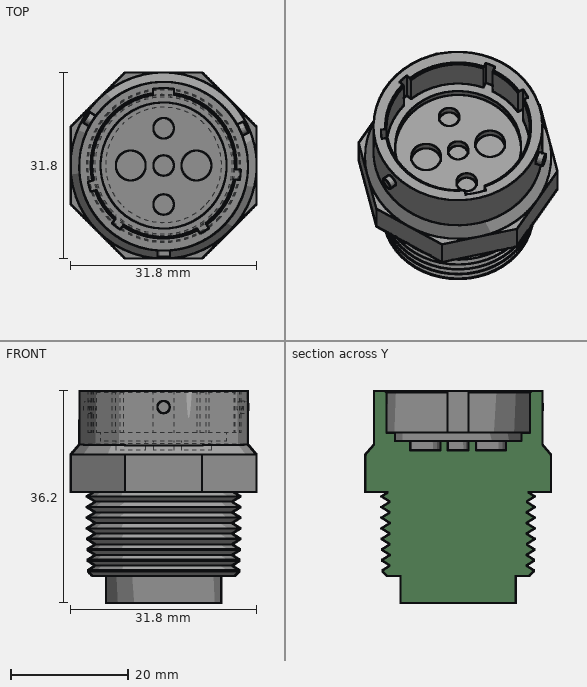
import cadquery as cq
import math

total_height = 36.16

flange_sides = 8
flange_across_flats = 31.75
flange_bottom_z = 18.93
flange_top_z = 25.31
cone_angle = 49.5
cone_overlap = 0.1

collar_radius = 14.4
collar_center_y = -0.127

bore_radius = 12.2
bore_depth = 7.1
bore_chamfer = 0.26
well_radius = 10.75
well_depth = 1.4

keyway_radius = 13.2
wide_key = 3.55
narrow_key = 1.75
keyways = [(90, wide_key), (-7, narrow_key), (-58, narrow_key), (-128, narrow_key), (-164, narrow_key)]

small_contact = 3.5
large_contact = 5.1
contact_depth = 1.6
contacts = [
    (0, 6.35, small_contact),
    (0, 0, small_contact),
    (0, -6.65, small_contact),
    (-5.6, 0, large_contact),
    (5.6, 0, large_contact),
]

pin_diameter = 2.1
pin_tip_radius = 15.5
pin_below_top = 2.75
pin_angles = (-90, 25, 148)

thread_pitch = 25.4 / 14
thread_crest_radius = 13.15
thread_depth = 1.45
thread_bottom_z = 4.6
thread_rings = 8
first_crest_below_flange = 0.75
taper_start_below_flange = 5.9
taper_slope = 1 / 32
thread_end_chamfer = 0.75

spigot_radius = 9.87
spigot_center_y = 0.1

bore_floor_z = total_height - bore_depth
well_floor_z = bore_floor_z - well_depth
flange_radius = flange_across_flats / 2


def cylinder(radius, bottom_z, top_z, x=0.0, y=0.0):
    return cq.Workplane("XY", origin=(x, y, bottom_z)).circle(radius).extrude(top_z - bottom_z)


def make_flange():
    octagon_diameter = flange_across_flats / math.cos(math.pi / flange_sides)
    octagon = (
        cq.Workplane("XY", origin=(0, 0, flange_bottom_z))
        .polygon(flange_sides, octagon_diameter)
        .extrude(flange_top_z - flange_bottom_z)
        .rotate((0, 0, 0), (0, 0, 1), 180 / flange_sides)
    )
    cone_top_radius = collar_radius - abs(collar_center_y) - cone_overlap
    cone_height = (flange_radius - cone_top_radius) * math.tan(math.radians(cone_angle))
    cone = cq.Workplane("XZ").polyline([
        (0, flange_top_z),
        (flange_radius, flange_top_z),
        (cone_top_radius, flange_top_z + cone_height),
        (0, flange_top_z + cone_height),
    ]).close().revolve()
    return octagon.union(cone)


def make_thread():
    crest_z = flange_bottom_z - first_crest_below_flange
    root_radius = thread_crest_radius - thread_depth
    outline = [(0, crest_z + thread_pitch / 2), (root_radius, crest_z + thread_pitch / 2)]
    for _ in range(thread_rings):
        outline.append((thread_crest_radius, crest_z))
        outline.append((root_radius, crest_z - thread_pitch / 2))
        crest_z -= thread_pitch
    outline[-1] = (thread_crest_radius, thread_bottom_z)
    outline.append((0, thread_bottom_z))
    rings = cq.Workplane("XZ").polyline(outline).close().revolve()

    taper_start_z = flange_bottom_z - taper_start_below_flange
    chamfer_top_z = thread_bottom_z + thread_end_chamfer
    end_radius = thread_crest_radius - taper_slope * (taper_start_z - chamfer_top_z)
    envelope = cq.Workplane("XZ").polyline([
        (0, thread_bottom_z),
        (end_radius - thread_end_chamfer, thread_bottom_z),
        (end_radius, chamfer_top_z),
        (thread_crest_radius, taper_start_z),
        (thread_crest_radius, flange_bottom_z),
        (0, flange_bottom_z),
    ]).close().revolve()
    return rings.intersect(envelope)


def make_pin(angle):
    length = pin_tip_radius - (bore_radius + collar_radius) / 2
    return (
        cq.Workplane("YZ", origin=(pin_tip_radius - length, 0, total_height - pin_below_top))
        .circle(pin_diameter / 2)
        .extrude(length)
        .rotate((0, 0, 0), (0, 0, 1), angle)
    )


def make_socket():
    socket = cylinder(bore_radius, bore_floor_z, total_height)
    mouth = (
        cq.Workplane("XY", origin=(0, 0, total_height - bore_chamfer))
        .circle(bore_radius)
        .workplane(offset=bore_chamfer)
        .circle(bore_radius + bore_chamfer)
        .loft(ruled=True)
    )
    socket = socket.union(mouth)
    keyway_limit = cylinder(keyway_radius, bore_floor_z, total_height)
    for angle, width in keyways:
        keyway = (
            cq.Workplane("XY", origin=(0, 0, bore_floor_z))
            .center(keyway_radius / 2, 0)
            .rect(keyway_radius, width)
            .extrude(bore_depth)
            .rotate((0, 0, 0), (0, 0, 1), angle)
        )
        socket = socket.union(keyway.intersect(keyway_limit))
    socket = socket.union(cylinder(well_radius, well_floor_z, bore_floor_z))
    for x, y, diameter in contacts:
        socket = socket.union(cylinder(diameter / 2, well_floor_z - contact_depth, well_floor_z, x, y))
    return socket


result = (
    make_flange()
    .union(make_thread())
    .union(cylinder(spigot_radius, 0, flange_bottom_z, y=spigot_center_y))
    .union(cylinder(collar_radius, flange_bottom_z, total_height, y=collar_center_y))
)
for pin_angle in pin_angles:
    result = result.union(make_pin(pin_angle))
result = result.cut(make_socket())